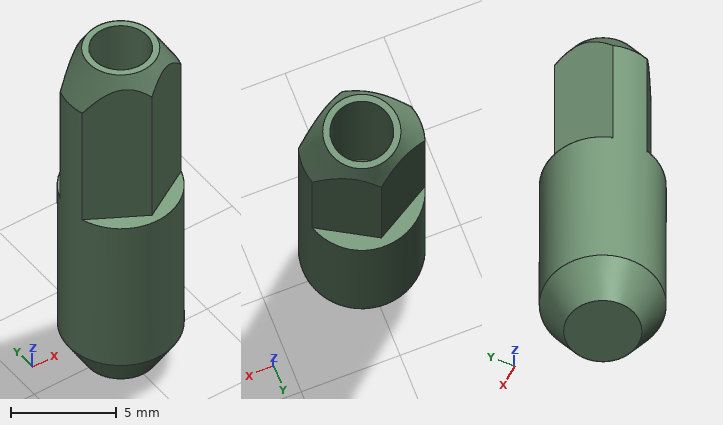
import cadquery as cq
import math

body_diameter = 6.0
total_length = 20.0
taper_length = 2.0
taper_angle = 30.0
flats_length = 9.0
apex_distance = 2.55
flat_slope = 30.0
bore_diameter = 3.0
bore_depth = flats_length

body_radius = body_diameter / 2
end_radius = body_radius - taper_length * math.tan(math.radians(taper_angle))
shoulder_z = total_length - flats_length
half_diamond_width = apex_distance / math.tan(math.radians(flat_slope))
clearance_radius = 2 * body_radius


def make_body():
    """Round pin along Z with a cone at both ends."""
    half_profile = [
        (0, 0),
        (end_radius, 0),
        (body_radius, taper_length),
        (body_radius, total_length - taper_length),
        (end_radius, total_length),
        (0, total_length),
    ]
    return cq.Workplane("XZ").polyline(half_profile).close().revolve(360, (0, 0), (0, 1))


def make_flats_envelope():
    """Space kept by the four flats: full round below the shoulder, a diamond above it."""
    diamond = [
        (half_diamond_width, 0),
        (0, apex_distance),
        (-half_diamond_width, 0),
        (0, -apex_distance),
    ]
    lower = cq.Workplane("XY").circle(clearance_radius).extrude(shoulder_z)
    upper_plane = cq.Workplane("XY").workplane(offset=shoulder_z)
    upper = upper_plane.polyline(diamond).close().extrude(flats_length)
    return lower.union(upper)


def make_bore():
    """Blind bore entering from the top end."""
    floor = cq.Workplane("XY").workplane(offset=total_length - bore_depth)
    return floor.circle(bore_diameter / 2).extrude(bore_depth)


result = make_body().intersect(make_flats_envelope()).cut(make_bore())